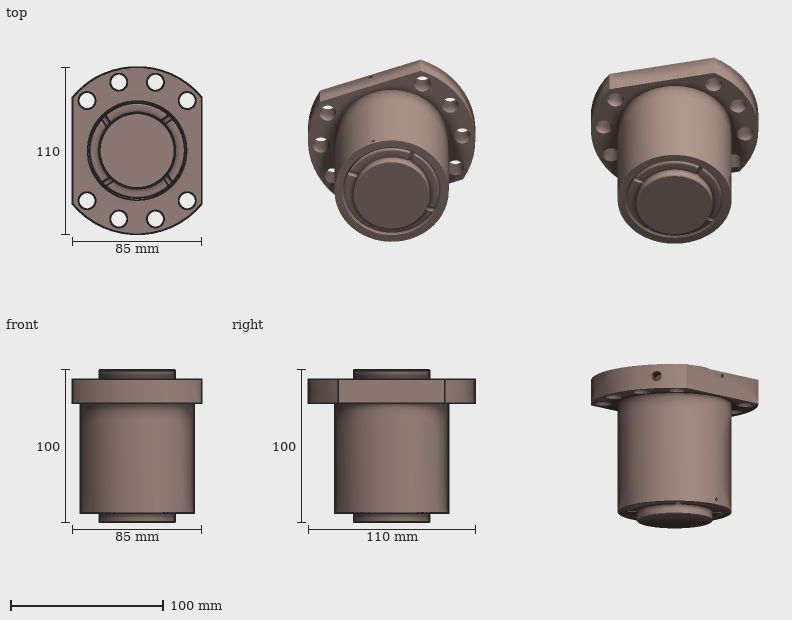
import cadquery as cq
import math

shaft_diameter = 50.0
shaft_length = 100.0
shaft_chamfer = 0.5
shaft_overhang = 6.0

barrel_diameter = 75.0
flange_diameter = 110.0
flange_width = 85.0
flange_thickness = 16.0

bolt_diameter = 11.0
bolt_circle_diameter = 93.0
bolt_angles_from_y = (-45.0, -15.0, 15.0, 45.0)

oil_port_diameter = 6.92
oil_port_depth = 12.0
oil_port_angle = 120.0

wiper_radius = 31.2
wiper_thickness = 3.5
wiper_edge_radius = 1.3
wiper_bore_diameter = 50.2
wiper_gap_depth = 1.5
seat_mouth_radius = 32.5
seat_chamfer_depth = 1.75

slot_diameter = 3.5
slot_offset = 6.0
slot_angle = 34.0
slot_count = 4

pin_hole_diameter = 3.0
pin_hole_inset = 3.0
pin_hole_undercut = 1.0

body_bottom = shaft_overhang
body_top = shaft_length - shaft_overhang
body_middle = shaft_length / 2
flange_bottom = body_top - flange_thickness
shaft_radius = shaft_diameter / 2


def make_body():
    """Barrel with a round flange cut to two flats across X."""
    barrel = (
        cq.Workplane("XY").workplane(offset=body_bottom)
        .circle(barrel_diameter / 2).extrude(body_top - body_bottom)
    )
    flange = (
        cq.Workplane("XY").workplane(offset=flange_bottom)
        .circle(flange_diameter / 2).extrude(flange_thickness)
    )
    flats = (
        cq.Workplane("XY").workplane(offset=flange_bottom)
        .rect(flange_width, flange_diameter).extrude(flange_thickness)
    )
    return barrel.union(flange.intersect(flats))


def make_shaft():
    """Shaft through the body, chamfered at both ends."""
    return (
        cq.Workplane("XY").circle(shaft_radius).extrude(shaft_length)
        .faces("<Z or >Z").chamfer(shaft_chamfer)
    )


def make_bolt_holes():
    """Two mirrored rows of through holes on the bolt circle."""
    points = []
    for y_direction in (90.0, 270.0):
        for offset in bolt_angles_from_y:
            angle = math.radians(y_direction + offset)
            points.append((
                bolt_circle_diameter / 2 * math.cos(angle),
                bolt_circle_diameter / 2 * math.sin(angle),
            ))
    return (
        cq.Workplane("XY").workplane(offset=flange_bottom)
        .pushPoints(points).circle(bolt_diameter / 2).extrude(flange_thickness)
    )


def make_oil_port():
    """Blind radial hole in the flange rim at mid thickness."""
    angle = math.radians(oil_port_angle)
    outward = cq.Vector(math.cos(angle), math.sin(angle), 0)
    start = outward * (flange_diameter / 2 - oil_port_depth)
    start += cq.Vector(0, 0, flange_bottom + flange_thickness / 2)
    length = 2 * oil_port_depth
    return cq.Workplane(cq.Solid.makeCylinder(oil_port_diameter / 2, length, start, outward))


def make_wiper_groove():
    """Groove at the top face between the chamfered seat and the rounded wiper edge."""
    land = wiper_radius - wiper_edge_radius
    arc_middle = (
        land + wiper_edge_radius * math.sin(math.pi / 4),
        body_top - wiper_edge_radius * (1 - math.cos(math.pi / 4)),
    )
    return (
        cq.Workplane("XZ")
        .moveTo(land, body_top)
        .threePointArc(arc_middle, (wiper_radius, body_top - wiper_edge_radius))
        .lineTo(wiper_radius, body_top - seat_chamfer_depth)
        .lineTo(seat_mouth_radius, body_top)
        .close()
        .revolve(360, (0, 0, 0), (0, 1, 0))
    )


def make_shaft_gap():
    """Thin clearance ring between the shaft and the wiper bore."""
    return (
        cq.Workplane("XY").workplane(offset=body_top - wiper_gap_depth)
        .circle(wiper_bore_diameter / 2).circle(shaft_radius).extrude(wiper_gap_depth)
    )


def make_wiper_slots():
    """Round-bottomed slots across the wiper, each offset from the axis."""
    ring = (
        cq.Workplane("XY").workplane(offset=body_top - slot_diameter)
        .circle(wiper_radius).circle(shaft_radius).extrude(2 * slot_diameter)
    )
    slot = cq.Workplane(cq.Solid.makeCylinder(
        slot_diameter / 2, wiper_radius, cq.Vector(0, slot_offset, body_top), cq.Vector(1, 0, 0)
    ))
    slots = cq.Workplane("XY")
    for index in range(slot_count):
        angle = slot_angle + index * 360.0 / slot_count
        slots = slots.add(slot.rotate((0, 0, 0), (0, 0, 1), angle))
    return slots.combine().intersect(ring)


def make_pin_hole():
    """Radial hole from the -X flat to the wiper rim, running on a little beneath the wiper."""
    inner_end = wiper_radius - pin_hole_undercut
    start = cq.Vector(-inner_end, 0, body_top - pin_hole_inset)
    hole = cq.Workplane(cq.Solid.makeCylinder(
        pin_hole_diameter / 2, flange_width / 2 - inner_end, start, cq.Vector(-1, 0, 0)
    ))
    wiper = (
        cq.Workplane("XY").workplane(offset=body_top - wiper_thickness)
        .circle(wiper_radius).extrude(wiper_thickness)
    )
    return hole.cut(wiper)


def cut_both_ends(part):
    """Cut the wiper details at the top end and their mirror image at the bottom end."""
    for make_cut in (make_wiper_groove, make_shaft_gap, make_wiper_slots, make_pin_hole):
        upper_cut = make_cut()
        lower_cut = upper_cut.mirror("XY", (0, 0, body_middle))
        part = part.cut(upper_cut).cut(lower_cut)
    return part


solid_part = make_body().union(make_shaft())
drilled_part = solid_part.cut(make_bolt_holes()).cut(make_oil_port())
result = cut_both_ends(drilled_part)